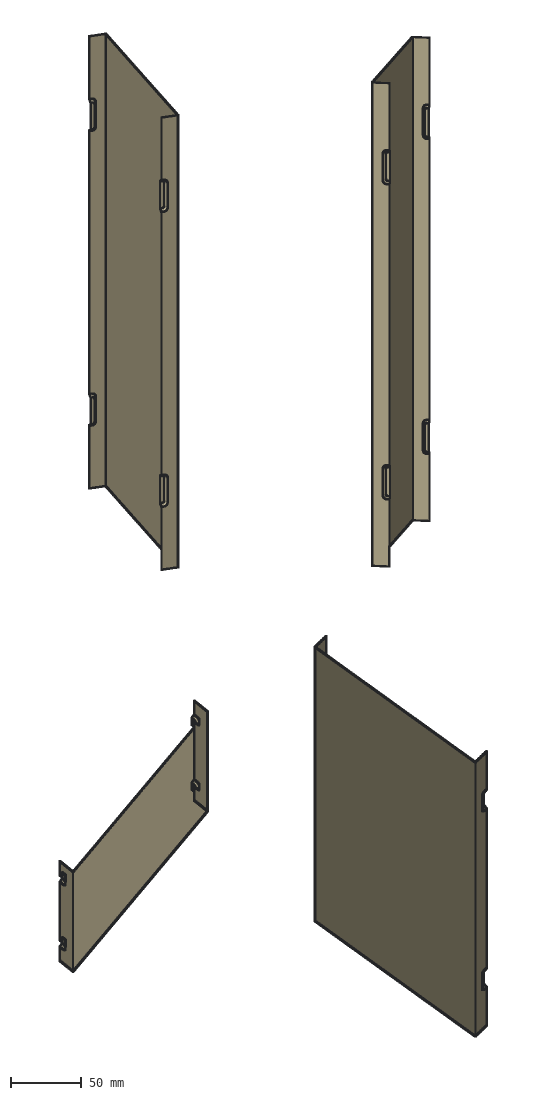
import cadquery as cq
import math

width = 150.0
depth = 12.5
height = 350.0
sheet = 0.52

recess_length = 24.0
recess_reach = 4.5
recess_depth = 2.8
recess_slope_run = 1.8
recess_corner_radius = 2.8
recess_end_distance = 61.0

bulge_margin = 0.7
wall_angle = math.degrees(math.atan2(recess_slope_run, recess_depth))

half_width = width / 2
recess_heights = (recess_end_distance, height - recess_end_distance)


def make_channel():
    """U-shaped sheet, with the panel's back face at Y = depth."""
    blank = cq.Workplane("XY").box(width, depth, height, centered=(True, False, False))
    inside = cq.Workplane("XY").box(
        width - 2 * sheet, depth - sheet, height, centered=(True, False, False)
    )
    return blank.cut(inside)


def make_dent(z_center, margin, dent_depth):
    """Tapered block from the left flange's outer face inward, enlarged by margin."""
    outline = (
        cq.Sketch()
        .rect(2 * (recess_reach + margin), recess_length + 2 * margin)
        .vertices()
        .fillet(recess_corner_radius + margin)
    )
    return (
        cq.Workplane("YZ", origin=(-half_width, 0, z_center))
        .placeSketch(outline)
        .extrude(dent_depth, taper=wall_angle)
    )


def make_bulge(z_center):
    """Block on the inner side of the flange, trimmed at its free edge."""
    block = make_dent(z_center, bulge_margin, recess_depth + sheet)
    keep = cq.Workplane("XY").box(width, depth, height, centered=(True, False, False))
    return block.intersect(keep)


result = make_channel()
for recess_height in recess_heights:
    bulge = make_bulge(recess_height)
    recess = make_dent(recess_height, 0, recess_depth)
    result = result.union(bulge).union(bulge.mirror("YZ"))
    result = result.cut(recess).cut(recess.mirror("YZ"))